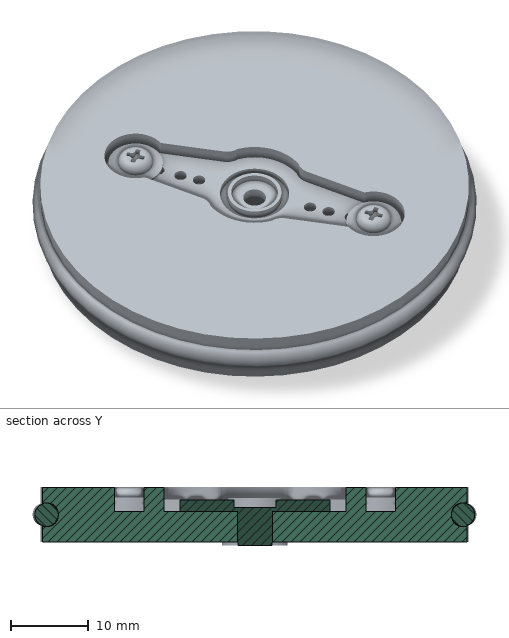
import cadquery as cq
import math

overall_diameter = 57.0
wheel_diameter = 55.0
wheel_height = 7.0
tyre_section_radius = 1.5
tyre_path_radius = overall_diameter / 2 - tyre_section_radius
tyre_height = wheel_height / 2

horn_clearance = 0.3
pocket_centre_radius = 6.8
pocket_end_radius = 4.0
shoulder_angle = 52.0
shoulder_start_x = 5.6
arm_middle_half_width = 5.2
arm_tip_half_width = 2.9
screw_x = 16.15

horn_recess = 1.6
horn_thickness = 1.5
horn_end_diameter = 7.0
horn_top = wheel_height - horn_recess
horn_bottom = horn_top - horn_thickness
small_hole_diameter = 1.6
small_hole_positions = (7.5, 10.05, 13.05)

hub_diameter = 8.4
hub_protrusion = 0.45
groove_diameter = 8.9
collar_diameter = 6.9
collar_rise = 0.2
recess_diameter = 6.0
recess_depth = 0.95
groove_depth = 0.9
axle_hole_diameter = 2.9
hub_web_thickness = 1.25
shaft_bore_diameter = 5.9
collar_top = horn_top + collar_rise
recess_floor = collar_top - recess_depth
shaft_bore_top = recess_floor - hub_web_thickness

washer_diameter = 7.0
washer_thickness = 0.3
head_diameter = 4.4
head_top_diameter = 2.4
head_height = 1.3
head_edge_height = 0.2
shank_diameter = 1.7
shank_tip_depth = 1.7
drive_depth = 0.85
drive_slot_width = 0.6
drive_core_side = 1.25
shank_bottom = horn_bottom - shank_tip_depth


def cylinder(diameter, bottom, top, x=0.0):
    """Upright cylinder between two heights, centred on the X axis."""
    return cq.Workplane("XY", origin=(x, 0, bottom)).circle(diameter / 2).extrude(top - bottom)


def point_on_circle(radius, angle):
    """Point on a circle about the origin, with the angle in degrees from +X."""
    return radius * math.cos(math.radians(angle)), radius * math.sin(math.radians(angle))


def horn_outline(bottom, top, end_radius, inset):
    """Central disc blended by small shoulders into two tapered arms, with a round pad at each arm tip."""
    centre_radius = pocket_centre_radius - inset
    tip = arm_tip_half_width - inset
    middle = arm_middle_half_width - inset
    arm_slope = (middle - tip) / screw_x
    shoulder_start = (shoulder_start_x, middle - arm_slope * shoulder_start_x)
    quarter = (
        cq.Workplane("XY", origin=(0, 0, bottom))
        .lineTo(screw_x, 0)
        .lineTo(screw_x, tip)
        .lineTo(*shoulder_start)
        .tangentArcPoint(point_on_circle(centre_radius, shoulder_angle), relative=False)
        .threePointArc(point_on_circle(centre_radius, (shoulder_angle + 90) / 2), (0, centre_radius))
        .close()
        .extrude(top - bottom)
    )
    half = quarter.union(quarter.mirror("YZ"))
    body = half.union(half.mirror("XZ"))
    for x in (-screw_x, screw_x):
        body = body.union(cylinder(2 * end_radius, bottom, top, x))
    return body


def make_tyre():
    """Round-section ring seated in the rim groove."""
    return (
        cq.Workplane("XZ")
        .center(tyre_path_radius, tyre_height)
        .circle(tyre_section_radius)
        .revolve(360, (-tyre_path_radius, 0), (-tyre_path_radius, 1))
    )


def make_wheel():
    """Disc with a rim groove, a horn pocket, a hub bore and two screw holes."""
    wheel = cylinder(wheel_diameter, 0, wheel_height).cut(make_tyre())
    wheel = wheel.cut(horn_outline(horn_bottom, wheel_height, pocket_end_radius, 0))
    wheel = wheel.cut(cylinder(hub_diameter, 0, horn_bottom))
    for x in (-screw_x, screw_x):
        wheel = wheel.cut(cylinder(shank_diameter, shank_bottom, horn_bottom, x))
    return wheel


def make_horn():
    """Two-armed servo horn with its hub, hole rows and screw holes."""
    horn = horn_outline(horn_bottom, horn_top, horn_end_diameter / 2, horn_clearance)
    horn = horn.union(cylinder(hub_diameter, -hub_protrusion, horn_bottom))
    horn = horn.cut(cylinder(groove_diameter, horn_top - groove_depth, horn_top))
    horn = horn.union(cylinder(collar_diameter, horn_top - groove_depth, collar_top))
    horn = horn.cut(cylinder(recess_diameter, recess_floor, collar_top))
    horn = horn.cut(cylinder(axle_hole_diameter, shaft_bore_top, recess_floor))
    horn = horn.cut(cylinder(shaft_bore_diameter, -hub_protrusion, shaft_bore_top))
    for side in (-1, 1):
        for x in small_hole_positions:
            horn = horn.cut(cylinder(small_hole_diameter, horn_bottom, horn_top, side * x))
        horn = horn.cut(cylinder(shank_diameter, horn_bottom, horn_top, side * screw_x))
    return horn


def cross_drive(top):
    """Cross-shaped socket below the given height, with a diagonal square opening its centre."""
    bottom = top - drive_depth
    plane = cq.Workplane("XY", origin=(0, 0, bottom))
    slot_x = plane.rect(head_top_diameter, drive_slot_width).extrude(drive_depth)
    slot_y = plane.rect(drive_slot_width, head_top_diameter).extrude(drive_depth)
    core = plane.rect(drive_core_side, drive_core_side).extrude(drive_depth)
    core = core.rotate((0, 0, 0), (0, 0, 1), 45)
    return slot_x.union(slot_y).union(core).intersect(cylinder(head_top_diameter, bottom, top))


def make_screw(x):
    """Pan-head screw with a fixed washer and a cross drive."""
    washer_top = horn_top + washer_thickness
    head_top = washer_top + head_height
    head_radius = head_diameter / 2
    top_radius = head_top_diameter / 2
    dome_base = washer_top + head_edge_height
    dome_x, dome_z = point_on_circle(1, 45)
    dome_middle = (
        top_radius + (head_radius - top_radius) * dome_x,
        dome_base + (head_top - dome_base) * dome_z,
    )
    screw = (
        cq.Workplane("XZ")
        .moveTo(0, shank_bottom)
        .lineTo(shank_diameter / 2, shank_bottom)
        .lineTo(shank_diameter / 2, horn_top)
        .lineTo(washer_diameter / 2, horn_top)
        .lineTo(washer_diameter / 2, washer_top)
        .lineTo(head_radius, washer_top)
        .lineTo(head_radius, dome_base)
        .threePointArc(dome_middle, (top_radius, head_top))
        .lineTo(0, head_top)
        .close()
        .revolve(360, (0, 0), (0, 1))
    )
    return screw.cut(cross_drive(head_top)).translate((x, 0, 0))


wheel = make_wheel()
tyre = make_tyre()
horn = make_horn()
screws = [make_screw(x) for x in (-screw_x, screw_x)]

result = cq.Compound.makeCompound(
    [wheel.val(), tyre.val(), horn.val(), *[screw.val() for screw in screws]]
)